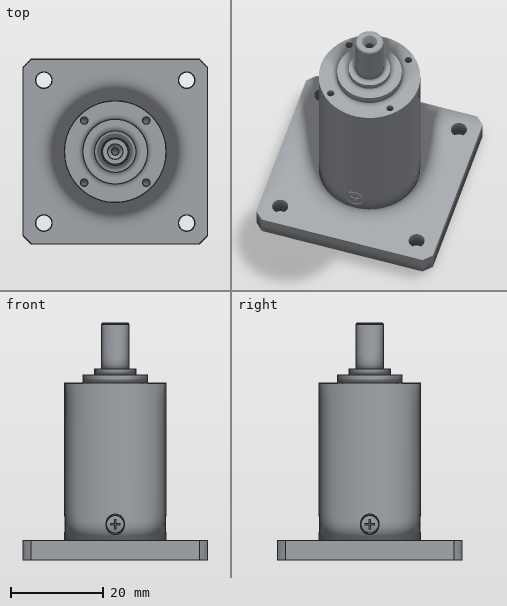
import cadquery as cq
import math

FLANGE_SIDE = 40.0
FLANGE_THICKNESS = 4.25
FLANGE_CORNER_CHAMFER = 1.8
FLANGE_HOLE_DIAMETER = 3.5
FLANGE_HOLE_SPACING = 30.95

HOUSING_DIAMETER = 22.0
HOUSING_TOP = 38.3
PILOT_DIAMETER = 14.0
PILOT_TOP = 40.1
COLLAR_DIAMETER = 9.0
COLLAR_TOP = 41.4
SHAFT_DIAMETER = 6.0
SHAFT_TOP = 51.3
SHAFT_CHAMFER = 0.25

FACE_HOLE_DIAMETER = 1.6
FACE_HOLE_SPACING = 13.45
FACE_HOLE_DEPTH = 4.6

CENTRE_HOLE_DIAMETER = 1.6
CENTRE_HOLE_DEPTH = 7.7
CENTRE_MOUTH_DIAMETER = 3.35
CENTRE_MOUTH_ANGLE = 60.0
DRILL_POINT_ANGLE = 118.0

SCREW_COUNT = 4
SCREW_HEIGHT = 7.75
SCREW_HEAD_DIAMETER = 3.8
SCREW_SHANK_DIAMETER = 2.0
SCREW_LENGTH = 4.0
HEAD_RECESS = 0.1
COUNTERSINK_DIAMETER = 4.4
CROSS_LENGTH = 2.0
CROSS_WIDTH = 0.25
CROSS_DEPTH = 0.4

housing_radius = HOUSING_DIAMETER / 2
head_radius = SCREW_HEAD_DIAMETER / 2
shank_radius = SCREW_SHANK_DIAMETER / 2
countersink_radius = COUNTERSINK_DIAMETER / 2

head_face = housing_radius - HEAD_RECESS
screw_tip = head_face - SCREW_LENGTH
neck = housing_radius - (countersink_radius - shank_radius)
head_rim = neck + (head_radius - shank_radius)


def cylinder(diameter, bottom, top):
    return cq.Workplane("XY").workplane(offset=bottom).circle(diameter / 2).extrude(top - bottom)


def turned_about_z(profile):
    """Revolve (radius, height) points about the Z axis."""
    return cq.Workplane("XZ").polyline(profile).close().revolve(360, (0, 0), (0, 1))


def turned_about_x(profile):
    """Revolve (distance along X, radius) points about the X axis."""
    return cq.Workplane("XY").polyline(profile).close().revolve(360, (0, 0), (1, 0))


def drilled_hole(diameter, top, depth):
    """Cutter for a blind hole with a drill point at the bottom."""
    radius = diameter / 2
    shoulder = top - depth
    point = shoulder - radius / math.tan(math.radians(DRILL_POINT_ANGLE / 2))
    return turned_about_z([(0, top), (radius, top), (radius, shoulder), (0, point)])


def centre_mouth():
    """Cutter for the conical mouth of the shaft centre hole."""
    mouth_radius = CENTRE_MOUTH_DIAMETER / 2
    apex = SHAFT_TOP - mouth_radius / math.tan(math.radians(CENTRE_MOUTH_ANGLE / 2))
    return turned_about_z([(0, SHAFT_TOP), (mouth_radius, SHAFT_TOP), (0, apex)])


def place_radially(shape, index):
    """Move a shape built along +X to screw height and turn it to its station."""
    angle = 360 / SCREW_COUNT * index
    return shape.translate((0, 0, SCREW_HEIGHT)).rotate((0, 0, 0), (0, 0, 1), angle)


def screw_seat():
    """Cutter for a countersunk screw hole; the cone runs out past the housing."""
    clearance = 0.5
    return turned_about_x([
        (screw_tip, 0),
        (screw_tip, shank_radius),
        (neck, shank_radius),
        (housing_radius + clearance, countersink_radius + clearance),
        (housing_radius + clearance, 0),
    ])


def make_screw():
    """Countersunk screw along +X: shank, conical head with a short rim, cross recess."""
    screw = turned_about_x([
        (screw_tip, 0),
        (screw_tip, shank_radius),
        (neck, shank_radius),
        (head_rim, head_radius),
        (head_face, head_radius),
        (head_face, 0),
    ])
    for size_y, size_z in ((CROSS_LENGTH, CROSS_WIDTH), (CROSS_WIDTH, CROSS_LENGTH)):
        slot = cq.Workplane("XY").box(2 * CROSS_DEPTH, size_y, size_z)
        screw = screw.cut(slot.translate((head_face, 0, 0)))
    return screw


def make_flange():
    flange = cq.Workplane("XY").rect(FLANGE_SIDE, FLANGE_SIDE).extrude(FLANGE_THICKNESS)
    flange = flange.edges("|Z").chamfer(FLANGE_CORNER_CHAMFER)
    hole_points = flange.faces(">Z").workplane().rect(
        FLANGE_HOLE_SPACING, FLANGE_HOLE_SPACING, forConstruction=True
    ).vertices()
    return hole_points.hole(FLANGE_HOLE_DIAMETER)


def make_gearbox():
    gearbox = cylinder(HOUSING_DIAMETER, FLANGE_THICKNESS, HOUSING_TOP)
    gearbox = gearbox.union(cylinder(PILOT_DIAMETER, HOUSING_TOP, PILOT_TOP))
    gearbox = gearbox.union(cylinder(COLLAR_DIAMETER, PILOT_TOP, COLLAR_TOP))

    shaft = cylinder(SHAFT_DIAMETER, COLLAR_TOP, SHAFT_TOP).faces(">Z").edges().chamfer(SHAFT_CHAMFER)
    gearbox = gearbox.union(shaft)
    gearbox = gearbox.cut(drilled_hole(CENTRE_HOLE_DIAMETER, SHAFT_TOP, CENTRE_HOLE_DEPTH))
    gearbox = gearbox.cut(centre_mouth())

    face_hole = drilled_hole(FACE_HOLE_DIAMETER, HOUSING_TOP, FACE_HOLE_DEPTH)
    for side_x in (-1, 1):
        for side_y in (-1, 1):
            offset = (side_x * FACE_HOLE_SPACING / 2, side_y * FACE_HOLE_SPACING / 2, 0)
            gearbox = gearbox.cut(face_hole.translate(offset))

    for index in range(SCREW_COUNT):
        gearbox = gearbox.cut(place_radially(screw_seat(), index))
    return gearbox


flange = make_flange()
gearbox = make_gearbox()
screws = [place_radially(make_screw(), index) for index in range(SCREW_COUNT)]

result = cq.Compound.makeCompound([
    flange.val(),
    gearbox.val(),
    *[screw.val() for screw in screws],
])